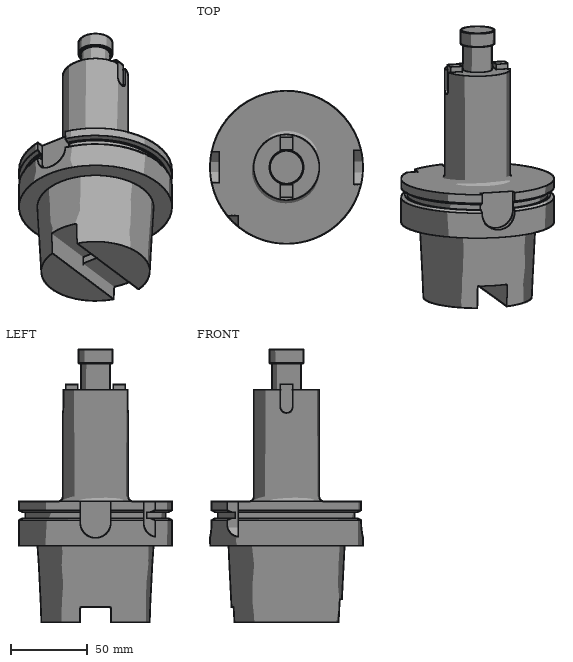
import cadquery as cq
import math

CUT_MARGIN = 10.0

shank_length = 50.0
shank_top_radius = 38.0
shank_bottom_radius = 35.5

flange_radius = 50.0
flange_height = 29.0
groove_floor_radius = 46.0
groove_center_z = 20.0
groove_floor_height = 3.75
groove_lip_angle = math.radians(30)
groove_lip_width = 2.5
groove_top_z = groove_center_z + groove_floor_height / 2
groove_bottom_z = groove_center_z - groove_floor_height / 2

barrel_radius = 21.43
barrel_top_z = 101.95
barrel_fillet = 3.175

pilot_radius = 9.525
pilot_top_z = 118.95
head_radius = 11.2
head_height = 9.5
head_chamfer = 0.5

drive_slot_width = 20.0
drive_slot_height = 10.0
deep_drive_slot_height = 15.0
drive_slot_corner = 1.0

notch_bottom_z = 5.2
left_notch_width = 20.0
right_notch_width = 22.2
notch_floor_distance = 44.0

corner_notch_offset = 31.5
corner_notch_radius = 9.0
corner_notch_axis_z = 14.8

key_width = 8.0
key_inner_face = 11.5
key_outer_face = 19.5
key_top_z = 105.45
key_bottom_z = 86.7


def turn_about_z(body, angle):
    return body.rotate((0, 0, 0), (0, 0, 1), angle)


def round_bottom_prism(width, bottom_z, top_z, length):
    """U-shaped prism centred on X = 0, running along +Y from Y = 0 with its round end at bottom_z."""
    radius = width / 2
    axis_z = bottom_z + radius
    return (
        cq.Workplane("XZ")
        .moveTo(-radius, top_z)
        .lineTo(-radius, axis_z)
        .threePointArc((0, bottom_z), (radius, axis_z))
        .lineTo(radius, top_z)
        .close()
        .extrude(-length)
    )


def turned_blank():
    """Shank, flange with groove, filleted barrel and pilot as one revolved profile."""
    lip_height = groove_lip_width * math.tan(groove_lip_angle)
    fillet_center_radius = barrel_radius + barrel_fillet
    fillet_center_z = flange_height + barrel_fillet
    fillet_mid = barrel_fillet * math.sqrt(0.5)
    return (
        cq.Workplane("XZ")
        .moveTo(0, -shank_length)
        .lineTo(shank_bottom_radius, -shank_length)
        .lineTo(shank_top_radius, 0)
        .lineTo(flange_radius, 0)
        .lineTo(flange_radius, groove_bottom_z - lip_height)
        .lineTo(flange_radius - groove_lip_width, groove_bottom_z)
        .lineTo(groove_floor_radius, groove_bottom_z)
        .lineTo(groove_floor_radius, groove_top_z)
        .lineTo(flange_radius - groove_lip_width, groove_top_z)
        .lineTo(flange_radius, groove_top_z + lip_height)
        .lineTo(flange_radius, flange_height)
        .lineTo(fillet_center_radius, flange_height)
        .threePointArc(
            (fillet_center_radius - fillet_mid, fillet_center_z - fillet_mid),
            (barrel_radius, fillet_center_z),
        )
        .lineTo(barrel_radius, barrel_top_z)
        .lineTo(pilot_radius, barrel_top_z)
        .lineTo(pilot_radius, pilot_top_z)
        .lineTo(0, pilot_top_z)
        .close()
        .revolve(360, (0, 0), (0, 1))
    )


def drive_slot(height, direction):
    """Slot from the axis out through the shank wall; direction is +1 for +X and -1 for -X."""
    length = shank_top_radius + CUT_MARGIN
    return (
        cq.Workplane("XY")
        .box(length, drive_slot_width, height + CUT_MARGIN, centered=(False, True, False))
        .edges("|X and >Z")
        .fillet(drive_slot_corner)
        .translate((min(0, direction) * length, 0, -shank_length - CUT_MARGIN))
    )


def rim_notch(width, angle):
    """Round-bottomed notch in the flange rim, turned by angle from the +Y direction."""
    prism = round_bottom_prism(width, notch_bottom_z, flange_height + CUT_MARGIN, flange_radius)
    return turn_about_z(prism.translate((0, notch_floor_distance, 0)), angle)


def corner_notch():
    """Corner notch whose wall facing -Y runs down into a round floor with its axis along X."""
    prism = round_bottom_prism(
        2 * corner_notch_radius,
        corner_notch_axis_z - corner_notch_radius,
        flange_height + CUT_MARGIN,
        flange_radius,
    )
    axis_y = -corner_notch_offset - corner_notch_radius
    return turn_about_z(prism, 90).translate((-corner_notch_offset, axis_y, 0))


def key_slot_prism(top_z, outer_face):
    """Round-bottomed prism on the +Y side from the key's inner face to outer_face."""
    prism = round_bottom_prism(key_width, key_bottom_z, top_z, outer_face - key_inner_face)
    return prism.translate((0, key_inner_face, 0))


key_angles = (0, 180)

holder = (
    turned_blank()
    .cut(drive_slot(drive_slot_height, -1))
    .cut(drive_slot(deep_drive_slot_height, 1))
    .cut(rim_notch(left_notch_width, 90))
    .cut(rim_notch(right_notch_width, -90))
    .cut(corner_notch())
)
for key_angle in key_angles:
    key_slot = key_slot_prism(barrel_top_z + CUT_MARGIN, barrel_radius + CUT_MARGIN)
    holder = holder.cut(turn_about_z(key_slot, key_angle))

keys = [turn_about_z(key_slot_prism(key_top_z, key_outer_face), key_angle) for key_angle in key_angles]

screw_head = (
    cq.Workplane("XY", origin=(0, 0, pilot_top_z))
    .circle(head_radius)
    .extrude(head_height)
    .faces("<Z or >Z")
    .chamfer(head_chamfer)
)

result = cq.Compound.makeCompound([holder.val(), *[key.val() for key in keys], screw_head.val()])